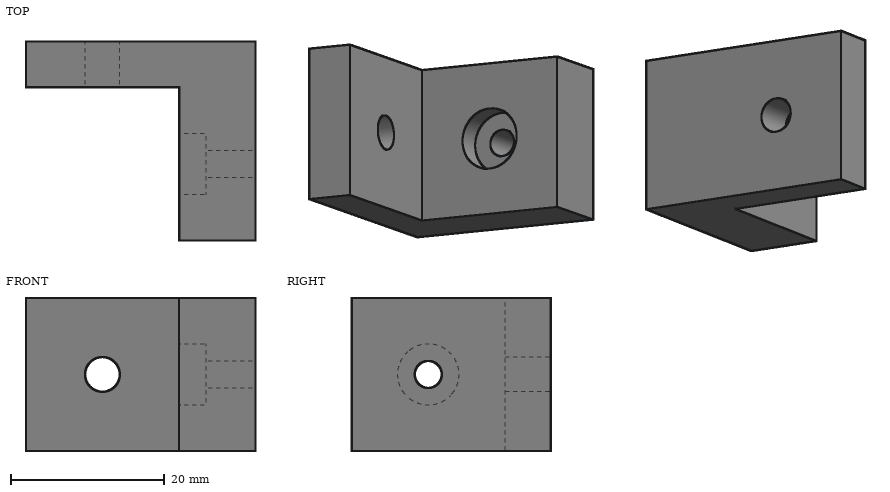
import cadquery as cq

length = 30.0
width = 26.0
height = 20.0

back_wall = 6.0
side_wall = 10.0

back_hole_diameter = 4.5
side_hole_diameter = 3.5
counterbore_diameter = 8.0
counterbore_depth = 3.5

inner_x = length - side_wall
inner_y = width - back_wall
back_hole_x = inner_x / 2
side_hole_y = inner_y / 2
hole_z = height / 2


def bracket_body():
    """L-shaped block: back wall along X, side wall along Y."""
    back = cq.Workplane("XY").box(length, back_wall, height, centered=False).translate((0, inner_y, 0))
    side = cq.Workplane("XY").box(side_wall, width, height, centered=False).translate((inner_x, 0, 0))
    return back.union(side).clean()


def back_hole():
    """Plain hole through the back wall, along Y."""
    start = cq.Vector(back_hole_x, inner_y, hole_z)
    return cq.Solid.makeCylinder(back_hole_diameter / 2, back_wall, start, cq.Vector(0, 1, 0))


def side_hole():
    """Hole through the side wall along X, counterbored from the inner face."""
    start = cq.Vector(inner_x, side_hole_y, hole_z)
    along_x = cq.Vector(1, 0, 0)
    bore = cq.Solid.makeCylinder(side_hole_diameter / 2, side_wall, start, along_x)
    counterbore = cq.Solid.makeCylinder(counterbore_diameter / 2, counterbore_depth, start, along_x)
    return bore.fuse(counterbore)


result = bracket_body().cut(back_hole()).cut(side_hole())